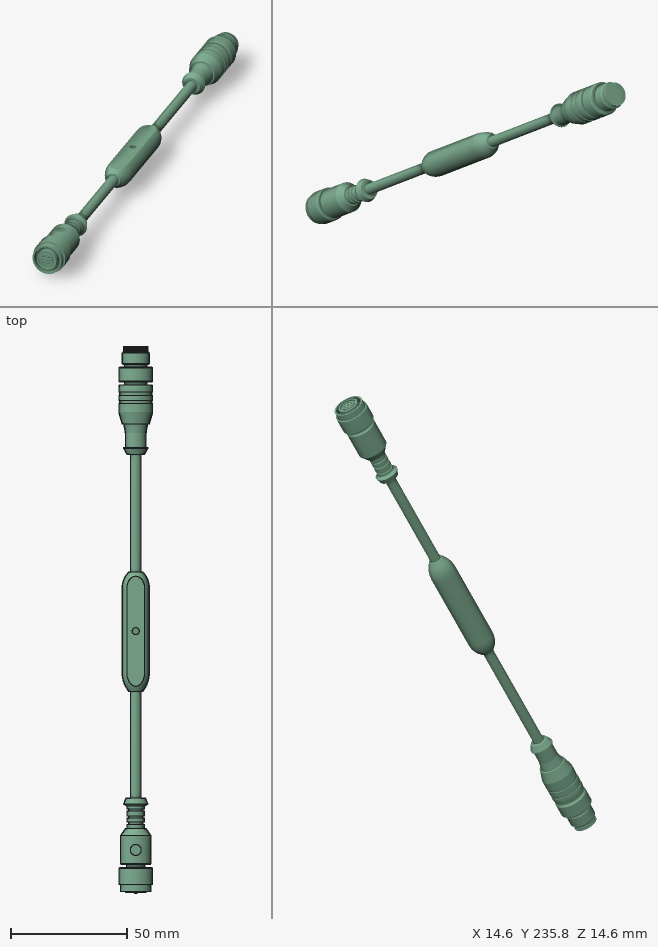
import cadquery as cq

total_length = 235.8
half_length = total_length / 2

cable_radius = 2.4

ring_radius = 7.3
edge_chamfer = 0.5

plug_tip_radius = 5.2
plug_tip_length = 2.4
tip_groove_depth = 0.35
tip_groove_width = 0.5
tip_groove_stations = (0.5, 1.5)
thread_radius = 6.0
thread_end = 7.8
plug_neck_radius = 5.0
plug_ring_start = 8.7
plug_ring_end = 15.3
grip_start = 16.5
grip_lead_in_length = 1.7
grip_lead_in_depth = 0.2
grip_end = 28.3
grip_groove_depth = 0.35
grip_groove_width = 1.5
grip_groove_stations = (19.5, 23.0)
taper_end = 33.2
taper_radius = 6.0
sleeve_start_radius = 5.2
sleeve_station = 37.2
sleeve_radius = 4.5
plug_collar_start = 43.4
plug_collar_end = 46.5
plug_collar_radius = 5.2
plug_collar_end_radius = 3.8

housing_start = 97.1
housing_end = 148.5
housing_radius = 6.0
housing_end_radius = 3.0
housing_front_nose_length = 8.0
housing_rear_nose_length = 6.8
housing_flat_height = 4.5
lamp_station = 122.5
lamp_radius = 1.53
lamp_depth = 0.7

collar_start = 194.5
collar_peak = 197.0
collar_start_radius = 4.2
collar_radius = 5.2
neck_start = 198.0
neck_radius = 3.8
neck_groove_depth = 0.7
neck_groove_width = 1.0
neck_groove_stations = (199.2, 202.3, 204.9)
shoulder_start = 207.7
shoulder_start_radius = 4.5
shell_start = 210.8
shell_end = 223.3
shell_radius = 6.5
shell_neck_radius = 4.0
socket_ring_start = 224.5
socket_ring_end = 231.7
rim_end = 234.8
rim_radius = 6.5
mouth_radius = 6.0
mouth_depth = 2.8
dimple_station = 217.0
dimple_radius = 2.4
dimple_floor_height = 6.0

insert_radius = 4.5
insert_end = 235.3
insert_groove_outer_radius = 3.8
insert_groove_inner_radius = 2.8
insert_groove_depth = 0.7
contact_count = 8
contact_circle_radius = 2.0
contact_radius = 0.5
contact_depth = 2.0
key_radius = 0.6


def revolve_profile(profile):
    """Spin a closed (radius, Y) profile about the Y axis."""
    return profile.close().revolve(360, (0, 0, 0), (0, 1, 0))


def turned(outline):
    """Solid of revolution from (station, radius) points listed from +Y to -Y."""
    points = [(radius, half_length - station) for station, radius in outline]
    first_y = points[0][1]
    last_y = points[-1][1]
    profile = cq.Workplane("XY").moveTo(0, first_y)
    for point in points:
        profile = profile.lineTo(*point)
    return revolve_profile(profile.lineTo(0, last_y))


def cylinder(start, end, radius):
    return turned([(start, radius), (end, radius)])


def chamfered_cylinder(start, end, radius):
    return turned([
        (start, radius - edge_chamfer),
        (start + edge_chamfer, radius),
        (end - edge_chamfer, radius),
        (end, radius - edge_chamfer),
    ])


def cut_ring_grooves(body, stations, width, surface_radius, depth):
    for station in stations:
        groove = cylinder(station, station + width, surface_radius)
        groove = groove.cut(cylinder(station, station + width, surface_radius - depth))
        body = body.cut(groove)
    return body


def vertical_pocket(station, radius, floor_height):
    """Round cutter along Z that opens upward from floor_height."""
    return (
        cq.Workplane("XY", origin=(0, half_length - station, floor_height))
        .circle(radius)
        .extrude(ring_radius)
    )


def make_plug():
    tip = cylinder(0, plug_tip_length, plug_tip_radius)
    tip = cut_ring_grooves(
        tip, tip_groove_stations, tip_groove_width, plug_tip_radius, tip_groove_depth
    )
    thread = chamfered_cylinder(plug_tip_length, thread_end, thread_radius)
    core = cylinder(thread_end, grip_start, plug_neck_radius)
    ring = chamfered_cylinder(plug_ring_start, plug_ring_end, ring_radius)
    grip = turned([
        (grip_start, ring_radius - grip_lead_in_depth),
        (grip_start + grip_lead_in_length, ring_radius),
        (grip_end, ring_radius),
        (taper_end, taper_radius),
        (taper_end, sleeve_start_radius),
        (sleeve_station, sleeve_radius),
        (plug_collar_start, sleeve_radius),
        (plug_collar_start, plug_collar_radius),
        (plug_collar_start + edge_chamfer, plug_collar_radius),
        (plug_collar_end, plug_collar_end_radius),
    ])
    grip = cut_ring_grooves(
        grip, grip_groove_stations, grip_groove_width, ring_radius, grip_groove_depth
    )
    return tip.union(thread).union(core).union(ring).union(grip)


def nose_arc_radius(nose_length):
    """Radius of the nose arc that runs tangentially into the straight side."""
    nose_drop = housing_radius - housing_end_radius
    return (nose_length**2 + nose_drop**2) / (2 * nose_drop)


def make_housing():
    """Round housing with arched noses, a flat top and a lamp recess."""
    start_y = half_length - housing_start
    end_y = half_length - housing_end
    profile = (
        cq.Workplane("XY")
        .moveTo(0, start_y)
        .lineTo(0, end_y)
        .lineTo(housing_end_radius, end_y)
        .radiusArc(
            (housing_radius, end_y + housing_front_nose_length),
            -nose_arc_radius(housing_front_nose_length),
        )
        .lineTo(housing_radius, start_y - housing_rear_nose_length)
        .radiusArc(
            (housing_end_radius, start_y),
            -nose_arc_radius(housing_rear_nose_length),
        )
    )
    housing = revolve_profile(profile)
    above_flat = (
        cq.Workplane("XY", origin=(0, (start_y + end_y) / 2, housing_flat_height))
        .rect(2 * housing_radius, housing_end - housing_start)
        .extrude(housing_radius)
    )
    lamp = vertical_pocket(lamp_station, lamp_radius, housing_flat_height - lamp_depth)
    return housing.cut(above_flat).cut(lamp)


def make_insert():
    insert = cylinder(rim_end - mouth_depth, insert_end, insert_radius)
    insert = cut_ring_grooves(
        insert,
        [insert_end - insert_groove_depth],
        insert_groove_depth,
        insert_groove_outer_radius,
        insert_groove_outer_radius - insert_groove_inner_radius,
    )
    contacts = (
        cq.Workplane("XZ", origin=(0, half_length - insert_end, 0))
        .polarArray(contact_circle_radius, 0, 360, contact_count)
        .circle(contact_radius)
        .extrude(-contact_depth)
    )
    key = cylinder(insert_end - contact_depth, total_length, key_radius)
    return insert.cut(contacts).union(key)


def make_socket():
    boot = turned([
        (collar_start, collar_start_radius),
        (collar_peak, collar_radius),
        (neck_start, neck_radius),
        (shoulder_start, neck_radius),
        (shoulder_start, shoulder_start_radius),
        (shell_start, shell_radius),
        (shell_end - edge_chamfer, shell_radius),
        (shell_end, shell_radius - edge_chamfer),
        (shell_end, shell_neck_radius),
        (socket_ring_start, shell_neck_radius),
        (socket_ring_start, ring_radius - edge_chamfer),
        (socket_ring_start + edge_chamfer, ring_radius),
        (socket_ring_end, ring_radius),
        (socket_ring_end, rim_radius),
        (rim_end, rim_radius),
    ])
    boot = cut_ring_grooves(
        boot, neck_groove_stations, neck_groove_width, neck_radius, neck_groove_depth
    )
    mouth = cylinder(rim_end - mouth_depth, rim_end, mouth_radius)
    dimple = vertical_pocket(dimple_station, dimple_radius, dimple_floor_height)
    return boot.cut(mouth).cut(dimple).union(make_insert())


cable = cylinder(grip_end, shell_start, cable_radius)
result = cable.union(make_plug()).union(make_housing()).union(make_socket())